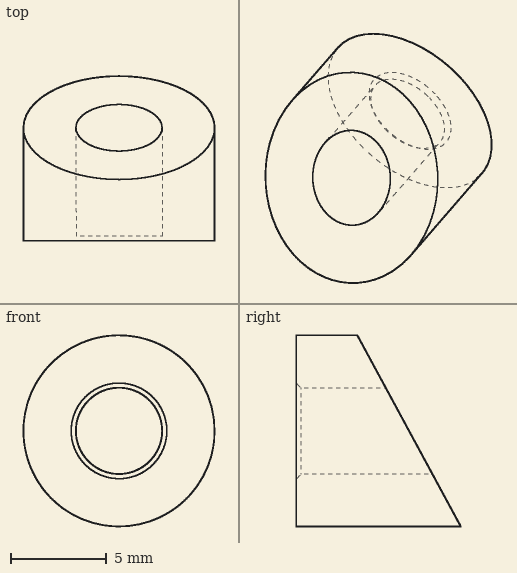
import cadquery as cq

outer_diameter = 10.0
bore_diameter = 4.5
bore_chamfer = 0.25
long_side = 8.61
short_side = 3.2

outer_radius = outer_diameter / 2


def slanted_cylinder():
    """Cylinder along Y, cut by a plane that runs from the long to the short side."""
    cylinder = (
        cq.Workplane("XZ")
        .circle(outer_radius)
        .extrude(-long_side)
    )
    side_profile = (
        cq.Workplane("YZ")
        .moveTo(0, -outer_radius)
        .lineTo(long_side, -outer_radius)
        .lineTo(short_side, outer_radius)
        .lineTo(0, outer_radius)
        .close()
        .extrude(outer_radius, both=True)
    )
    return cylinder.intersect(side_profile)


def chamfered_bore():
    """Through bore along Y, widened by a 45 degree chamfer at the flat face."""
    bore_radius = bore_diameter / 2
    return (
        cq.Workplane("XY")
        .moveTo(0, 0)
        .lineTo(bore_radius + bore_chamfer, 0)
        .lineTo(bore_radius, bore_chamfer)
        .lineTo(bore_radius, long_side)
        .lineTo(0, long_side)
        .close()
        .revolve(360, (0, 0, 0), (0, 1, 0))
    )


result = slanted_cylinder().cut(chamfered_bore())